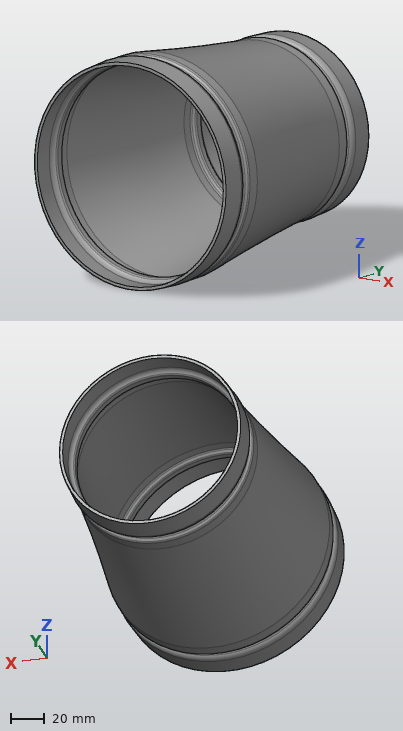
import cadquery as cq
import math

length = 168.4
wall = 2.0

large_pipe_radius = 139.8 / 2
small_pipe_radius = 114.3 / 2
large_ridge_radius = 140.3 / 2
small_ridge_radius = 114.7 / 2
large_groove_radius = 134.5 / 2
small_groove_radius = 108.8 / 2
lip_taper = 0.8

ridge_distance = 15.0
floor_start_distance = 20.0
floor_end_distance = 21.0
crest_distance = 24.5
body_distance = 32.0
bend_radius = 1.43
bore_spread = 1.26

body_sag = 0.7


def on_circle(center, radius, angle):
    """Point on a circle; the angle turns from the outward radial direction toward the body."""
    return (center[0] + radius * math.cos(angle), center[1] + radius * math.sin(angle))


def end_profile(pipe, ridge, groove, depth, spread):
    """Profile of one pipe end from its rim to the body, a given depth below the outer surface.

    Returns steps of (arc midpoint or None, end point); points are (radius, distance from the rim).
    """
    pipe_radius = pipe - depth
    ridge_radius = ridge - depth
    floor_radius = groove - depth
    ridge_at = ridge_distance - spread
    floor_start_at = floor_start_distance - spread
    floor_end_at = floor_end_distance + spread
    crest_at = crest_distance + spread

    gentle_run = floor_start_at - ridge_at
    gentle_angle = 2 * math.atan((ridge_radius - floor_radius) / gentle_run)
    shoulder_radius = gentle_run / math.sin(gentle_angle) - bend_radius
    shoulder_center = (ridge_radius - shoulder_radius, ridge_at)
    gentle_foot_center = (floor_radius + bend_radius, floor_start_at)

    steep_foot_center = (floor_radius + bend_radius, floor_end_at)
    crest_center = (pipe_radius - bend_radius, crest_at)
    rise = crest_center[0] - steep_foot_center[0]
    run = crest_at - floor_end_at
    steep_angle = math.asin(2 * bend_radius / math.hypot(rise, run)) + math.atan2(rise, run)

    return [
        (None, (ridge_radius - lip_taper, 0)),
        (None, (ridge_radius, ridge_at)),
        (
            on_circle(shoulder_center, shoulder_radius, gentle_angle / 2),
            on_circle(shoulder_center, shoulder_radius, gentle_angle),
        ),
        (
            on_circle(gentle_foot_center, bend_radius, math.pi + gentle_angle / 2),
            (floor_radius, floor_start_at),
        ),
        (None, (floor_radius, floor_end_at)),
        (
            on_circle(steep_foot_center, bend_radius, math.pi - steep_angle / 2),
            on_circle(steep_foot_center, bend_radius, math.pi - steep_angle),
        ),
        (None, on_circle(crest_center, bend_radius, -steep_angle)),
        (
            on_circle(crest_center, bend_radius, -steep_angle / 2),
            (pipe_radius, crest_at),
        ),
        (None, (pipe_radius, body_distance)),
    ]


def add_step(profile, mid, point):
    """Extend the profile by a line, or by an arc when a midpoint is given."""
    if mid is None:
        return profile.lineTo(*point)
    return profile.threePointArc(mid, point)


def from_small_rim(point):
    """Turn a point measured from the small rim into one measured from the large rim."""
    return None if point is None else (point[0], length - point[1])


def revolved_body(depth, spread):
    """Solid of revolution, y = 0 at the large rim, a given depth below the outer surface."""
    large_end = end_profile(
        large_pipe_radius, large_ridge_radius, large_groove_radius, depth, spread
    )
    small_end = end_profile(
        small_pipe_radius, small_ridge_radius, small_groove_radius, depth, spread
    )

    profile = cq.Workplane("XY").moveTo(0, 0)
    for mid, point in large_end:
        profile = add_step(profile, mid, point)

    body_mid = ((large_pipe_radius + small_pipe_radius) / 2 - depth - body_sag, length / 2)
    profile = profile.threePointArc(body_mid, (small_pipe_radius - depth, length - body_distance))
    for step in range(len(small_end) - 1, 0, -1):
        mid = small_end[step][0]
        point = small_end[step - 1][1]
        profile = add_step(profile, from_small_rim(mid), from_small_rim(point))

    profile = profile.lineTo(0, length).close()
    return profile.revolve(360, (0, 0, 0), (0, 1, 0))


result = revolved_body(0, 0).cut(revolved_body(wall, bore_spread))